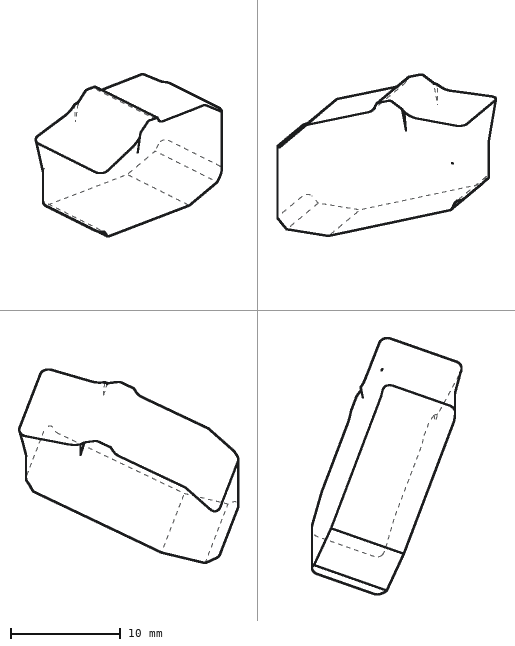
import cadquery as cq
import math

length = 19.0
body_width = 7.16
corner_radius = 0.8

front_y = 0.51
front_bottom_z = 5.43
head_bottom_z = 8.99
heel_y, heel_z = 1.4, 4.48
heel_relief_y = 0.97
flat_front_y, flat_rear_y = 13.65, 17.8
rear_bottom_z, rear_top_z = 0.8, 7.73
shoulder_y, shoulder_z = 15.95, 10.5

rake_z = 13.02
rake_rear_y = 4.7
ramp_angle = math.radians(30)
ramp_radius = 2.2
crest_y = 7.47
back_y, back_z = 8.82, 13.8
foot_y, foot_z = 9.25, 12.92

edge_radius = 0.4
back_radius = 0.19
foot_radius = 1.05
rear_hollow_radius = 0.66

flare = math.tan(math.radians(6))
lean = front_y / (rake_z - head_bottom_z)
flank_y, flank_z = 5.9, 11.55
flank_slope = 0.535
rear_lean = 0.04
blend_y, blend_x = 3.42, 2.28
loft_bottom_z, loft_top_z = 7.6, 15.2


def profile_block():
    """Profile in the YZ plane, extruded to more than the full width."""
    ramp_y = rake_rear_y + ramp_radius * math.sin(ramp_angle)
    ramp_z = rake_z + ramp_radius * (1 - math.cos(ramp_angle))
    ramp_mid = (
        rake_rear_y + ramp_radius * math.sin(ramp_angle / 2),
        rake_z + ramp_radius * (1 - math.cos(ramp_angle / 2)),
    )
    crest_z = ramp_z + (crest_y - ramp_y) * math.tan(ramp_angle)
    rear_top_y = shoulder_y + shoulder_z - rear_top_z
    rear_bottom_y = flat_rear_y + rear_bottom_z
    crest = (crest_y, crest_z)
    back = (back_y, back_z)
    foot = (foot_y, foot_z)
    shoulder = (shoulder_y, shoulder_z)
    rear_top = (rear_top_y, rear_top_z)
    rear_bottom = (rear_bottom_y, rear_bottom_z)
    heel = (heel_y, heel_z)
    heel_relief = (heel_relief_y, front_bottom_z)
    block = (
        cq.Workplane("YZ")
        .moveTo(0, rake_z)
        .lineTo(rake_rear_y, rake_z)
        .threePointArc(ramp_mid, (ramp_y, ramp_z))
        .lineTo(*crest)
        .lineTo(*back)
        .lineTo(*foot)
        .lineTo(*shoulder)
        .lineTo(*rear_top)
        .lineTo(length, rear_top_z)
        .lineTo(length, rear_bottom_z)
        .lineTo(*rear_bottom)
        .lineTo(flat_rear_y, 0)
        .lineTo(flat_front_y, 0)
        .lineTo(*heel)
        .lineTo(*heel_relief)
        .lineTo(front_y, front_bottom_z)
        .lineTo(front_y, head_bottom_z)
        .close()
        .extrude(body_width, both=True)
    )
    for corner in (crest, shoulder, heel, heel_relief):
        block = round_corner(block, corner, edge_radius)
    for corner in (rear_top, rear_bottom):
        block = round_corner(block, corner, rear_hollow_radius)
    block = round_corner(block, back, back_radius)
    return round_corner(block, foot, foot_radius)


def round_corner(block, corner, radius):
    """Round the crosswise edge at a (y, z) profile corner."""
    edge = cq.selectors.NearestToPointSelector((0, *corner))
    return block.edges(edge).fillet(radius)


def body_plan():
    """Straight-sided column with rounded corners."""
    depth = length - front_y
    return (
        cq.Workplane("XY")
        .center(0, front_y + depth / 2)
        .rect(body_width, depth)
        .extrude(loft_top_z)
        .edges("|Z")
        .fillet(corner_radius)
    )


def head_section(z):
    """Corners of the head at height z, right side then left side."""
    nose_y = front_y - lean * (z - head_bottom_z)
    rear_y = flank_y + rear_lean * (z - flank_z)

    def half_width(y):
        return body_width / 2 + flare * (z - flank_z + flank_slope * (flank_y - y))

    right = [
        (half_width(nose_y), nose_y),
        (half_width(rear_y), rear_y),
        (half_width(rear_y) - blend_x, rear_y + blend_y),
    ]
    left = [(-x, y) for x, y in reversed(right)]
    return right + left


def flared_head():
    """Head widening upwards and forwards, with its front corners rounded."""
    head = (
        cq.Workplane("XY", origin=(0, 0, loft_bottom_z))
        .polyline(head_section(loft_bottom_z)).close()
        .workplane(offset=loft_top_z - loft_bottom_z)
        .polyline(head_section(loft_top_z)).close()
        .loft(ruled=True)
    )
    middle_z = (loft_bottom_z + loft_top_z) / 2
    nose_x, nose_y = head_section(middle_z)[0]
    for side in (-1, 1):
        edge = cq.selectors.NearestToPointSelector((side * nose_x, nose_y, middle_z))
        head = head.edges(edge).fillet(corner_radius)
    return head


result = profile_block().intersect(body_plan().union(flared_head()))